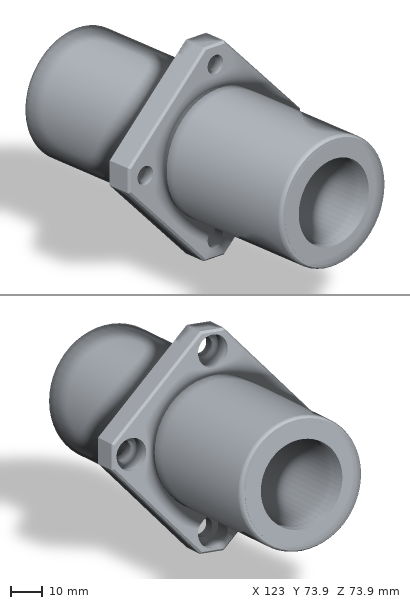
import cadquery as cq
import math

overall_length = 123.0
sleeve_diameter = 45.0
bore_diameter = 30.0
end_round_length = 1.5
end_round_depth = 0.7

seal_diameter = 41.7
seal_height = 0.1

flange_thickness = 10.0
flange_span = 73.9
corner_flat = 8.6
flange_chamfer = 0.7

groove_width = 1.8
groove_wall_height = 0.43
groove_depth = 0.6

hole_count = 4
hole_circle_diameter = 60.0
hole_diameter = 6.6
counterbore_diameter = 11.0
counterbore_depth = 6.2

sleeve_radius = sleeve_diameter / 2
sleeve_length = overall_length - 2 * seal_height
flange_start = -flange_thickness / 2


def cylinder_along_x(diameter, start, length):
    """Solid cylinder on the X axis."""
    return cq.Workplane("YZ").workplane(offset=start).circle(diameter / 2).extrude(length)


def make_sleeve():
    """Solid sleeve; each end curves in from the outer surface and stops at a sharp rim."""
    half_length = sleeve_length / 2
    round_start = half_length - end_round_length
    rim_radius = sleeve_radius - end_round_depth
    end_round_radius = (end_round_length**2 + end_round_depth**2) / (2 * end_round_depth)
    profile = (
        cq.Workplane("XY")
        .moveTo(-half_length, 0)
        .lineTo(-half_length, rim_radius)
        .radiusArc((-round_start, sleeve_radius), end_round_radius)
        .lineTo(round_start, sleeve_radius)
        .radiusArc((half_length, rim_radius), end_round_radius)
        .lineTo(half_length, 0)
        .close()
    )
    return profile.revolve(360, (0, 0, 0), (1, 0, 0))


def make_groove(side):
    """Ring that cuts a relief groove on one side (+1 or -1) of the flange."""
    inner_x = side * flange_thickness / 2
    outer_x = inner_x + side * groove_width
    middle_x = (inner_x + outer_x) / 2
    wall_foot = sleeve_radius - groove_wall_height
    profile = (
        cq.Workplane("XY")
        .moveTo(inner_x, sleeve_radius)
        .lineTo(inner_x, wall_foot)
        .threePointArc((middle_x, sleeve_radius - groove_depth), (outer_x, wall_foot))
        .lineTo(outer_x, sleeve_radius)
        .close()
    )
    return profile.revolve(360, (0, 0, 0), (1, 0, 0))


def make_flange():
    """Square plate on its corner, with the corners cut flat and the face edges chamfered."""
    reach = flange_span / 2
    half_flat = corner_flat / 2
    outline = [
        (half_flat, reach),
        (reach, half_flat),
        (reach, -half_flat),
        (half_flat, -reach),
        (-half_flat, -reach),
        (-reach, -half_flat),
        (-reach, half_flat),
        (-half_flat, reach),
    ]
    plate = cq.Workplane("YZ").workplane(offset=flange_start).polyline(outline).close()
    plate = plate.extrude(flange_thickness)
    return plate.faces("<X or >X").edges().chamfer(flange_chamfer)


def make_mounting_hole(angle):
    """Through hole with its counterbore open to the -X face, at an angle around X."""
    hole = cylinder_along_x(hole_diameter, flange_start, flange_thickness)
    counterbore = cylinder_along_x(counterbore_diameter, flange_start, counterbore_depth)
    radius = hole_circle_diameter / 2
    y = radius * math.cos(angle)
    z = radius * math.sin(angle)
    return hole.union(counterbore).translate((0, y, z))


sleeve = make_sleeve()
for side in (-1, 1):
    sleeve = sleeve.cut(make_groove(side))

seals = cylinder_along_x(seal_diameter, -overall_length / 2, overall_length)
result = sleeve.union(seals).union(make_flange())
result = result.cut(cylinder_along_x(bore_diameter, -overall_length / 2, overall_length))
for index in range(hole_count):
    result = result.cut(make_mounting_hole(index * 2 * math.pi / hole_count))